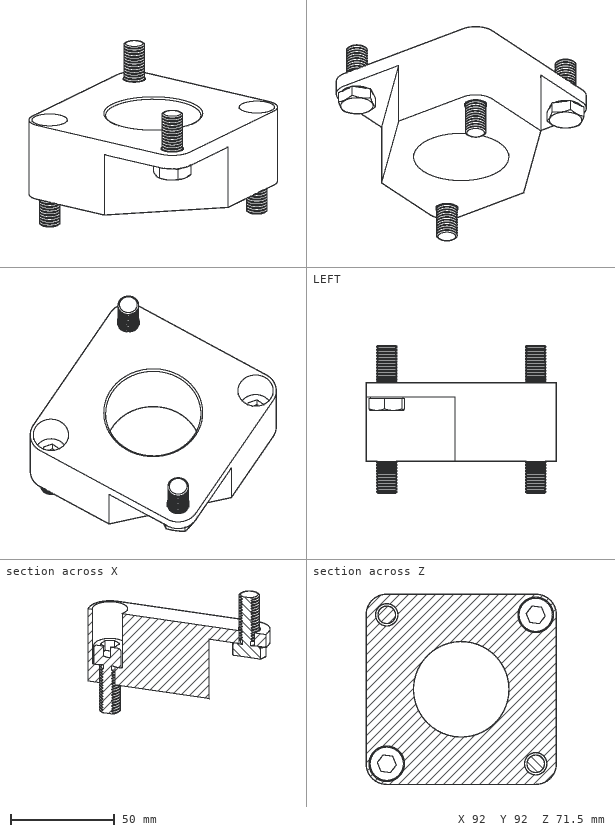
import cadquery as cq
import math

SIDE = 92.0
CORNER_RADIUS = 10.0
BLOCK_HEIGHT = 38.0
PLATE_THICKNESS = 7.0
CUT_START = 3.0
BORE_DIAMETER = 46.0
BORE_CHAMFER = 0.9
BOLT_OFFSET = 36.0
CLEARANCE_DIAMETER = 10.7
COUNTERBORE_DIAMETER = 17.0

HALF = SIDE / 2
CUT_HEIGHT = BLOCK_HEIGHT - PLATE_THICKNESS

THREAD_DIAMETER = 10.0
THREAD_DEPTH = 0.7
THREAD_CREST = 0.3
THREAD_LENGTH = 23.0
THREAD_COUNT = 16
SHANK_LENGTH = 25.0

THREAD_PITCH = THREAD_LENGTH / THREAD_COUNT

SOCKET_SCREW_REACH = 15.5
SOCKET_HEAD_DIAMETER = 16.0
SOCKET_HEAD_HEIGHT = 10.0
SOCKET_HEAD_ROUNDING = 1.5
SOCKET_WIDTH = 8.0
SOCKET_DEPTH = 5.0
SOCKET_TURN = -7.5
POINT_SLOPE_ANGLE = 30.0
SEAT_HEIGHT = SHANK_LENGTH - SOCKET_SCREW_REACH

HEX_WIDTH = 16.0
HEX_HEAD_HEIGHT = 6.5
WASHER_FACE_DIAMETER = 15.6
WASHER_FACE_HEIGHT = 0.6
HEX_CHAMFER_ANGLE = 30.0

SOCKET_SCREW_POINTS = [(-BOLT_OFFSET, -BOLT_OFFSET), (BOLT_OFFSET, BOLT_OFFSET)]
HEX_BOLT_PLACES = [(BOLT_OFFSET, -BOLT_OFFSET, 22.5), (-BOLT_OFFSET, BOLT_OFFSET, -7.5)]
HEX_BOLT_POINTS = [(x, y) for x, y, turn in HEX_BOLT_PLACES]


def across_corners(across_flats):
    """Corner-to-corner width of a regular hexagon."""
    return across_flats / math.cos(math.pi / 6)


def corner_cutter(side):
    """Triangular prism under the plate: side 1 is the +X -Y corner, side -1 the -X +Y corner."""
    outline = [
        (side * CUT_START, -side * HALF),
        (side * HALF, -side * HALF),
        (side * HALF, -side * CUT_START),
    ]
    return cq.Workplane("XY").polyline(outline).close().extrude(CUT_HEIGHT)


def make_flange():
    block = cq.Workplane("XY").rect(SIDE, SIDE).extrude(BLOCK_HEIGHT)
    block = block.edges("|Z").fillet(CORNER_RADIUS)
    for side in (1, -1):
        block = block.cut(corner_cutter(side))

    bore = cq.Workplane("XY").circle(BORE_DIAMETER / 2).extrude(BLOCK_HEIGHT)
    countersink = (
        cq.Workplane("XY", origin=(0, 0, BLOCK_HEIGHT - BORE_CHAMFER))
        .circle(BORE_DIAMETER / 2)
        .workplane(offset=BORE_CHAMFER)
        .circle(BORE_DIAMETER / 2 + BORE_CHAMFER)
        .loft()
    )
    clearance_holes = (
        cq.Workplane("XY")
        .pushPoints(SOCKET_SCREW_POINTS + HEX_BOLT_POINTS)
        .circle(CLEARANCE_DIAMETER / 2)
        .extrude(BLOCK_HEIGHT)
    )
    counterbores = (
        cq.Workplane("XY", origin=(0, 0, SEAT_HEIGHT))
        .pushPoints(SOCKET_SCREW_POINTS)
        .circle(COUNTERBORE_DIAMETER / 2)
        .extrude(BLOCK_HEIGHT - SEAT_HEIGHT)
    )
    return block.cut(bore).cut(countersink).cut(clearance_holes).cut(counterbores)


def make_shank():
    """Shank from the head seat at Z = 0 up to its tip, with a row of thread rings."""
    crest = THREAD_DIAMETER / 2
    root = crest - THREAD_DEPTH
    flank = (THREAD_PITCH - THREAD_CREST) / 2
    thread_start = SHANK_LENGTH - THREAD_LENGTH
    outline = [(0, 0), (root, 0), (root, thread_start)]
    for ring in range(THREAD_COUNT):
        ring_start = thread_start + ring * THREAD_PITCH
        outline.append((crest, ring_start + flank))
        outline.append((crest, ring_start + flank + THREAD_CREST))
        outline.append((root, ring_start + THREAD_PITCH))
    outline.append((0, SHANK_LENGTH))
    return cq.Workplane("XZ").polyline(outline).close().revolve(360, (0, 0), (0, 1))


def make_socket_screw(x, y):
    head = cq.Workplane("XY").circle(SOCKET_HEAD_DIAMETER / 2).extrude(SOCKET_HEAD_HEIGHT)
    head = head.faces(">Z").edges().fillet(SOCKET_HEAD_ROUNDING)

    socket_corners = across_corners(SOCKET_WIDTH)
    socket_floor = SOCKET_HEAD_HEIGHT - SOCKET_DEPTH
    socket = (
        cq.Workplane("XY", origin=(0, 0, socket_floor))
        .polygon(6, socket_corners)
        .extrude(SOCKET_DEPTH)
    )
    point_depth = socket_corners / 2 * math.tan(math.radians(POINT_SLOPE_ANGLE))
    drill_point = (
        cq.Workplane("XZ")
        .polyline([
            (0, socket_floor - point_depth),
            (socket_corners / 2, socket_floor),
            (0, socket_floor),
        ])
        .close()
        .revolve(360, (0, 0), (0, 1))
    )
    hexagon_prism = cq.Workplane("XY").polygon(6, socket_corners).extrude(SOCKET_HEAD_HEIGHT)
    recess = socket.union(drill_point.intersect(hexagon_prism))
    recess = recess.rotate((0, 0, 0), (0, 0, 1), SOCKET_TURN)

    shank = make_shank().mirror("XY")
    screw = head.cut(recess).union(shank)
    return screw.translate((x, y, SEAT_HEIGHT))


def make_hex_bolt(x, y, turn):
    head = (
        cq.Workplane("XY", origin=(0, 0, -HEX_HEAD_HEIGHT))
        .polygon(6, across_corners(HEX_WIDTH))
        .extrude(HEX_HEAD_HEIGHT - WASHER_FACE_HEIGHT)
        .rotate((0, 0, 0), (0, 0, 1), turn)
    )
    corner_radius = across_corners(HEX_WIDTH) / 2
    flat_radius = WASHER_FACE_DIAMETER / 2
    trim_height = (corner_radius - flat_radius) * math.tan(math.radians(HEX_CHAMFER_ANGLE))
    envelope = (
        cq.Workplane("XZ")
        .polyline([
            (0, -HEX_HEAD_HEIGHT),
            (flat_radius, -HEX_HEAD_HEIGHT),
            (corner_radius, -HEX_HEAD_HEIGHT + trim_height),
            (corner_radius, 0),
            (0, 0),
        ])
        .close()
        .revolve(360, (0, 0), (0, 1))
    )
    washer_face = (
        cq.Workplane("XY")
        .circle(WASHER_FACE_DIAMETER / 2)
        .extrude(-WASHER_FACE_HEIGHT)
    )
    bolt = head.intersect(envelope).union(washer_face).union(make_shank())
    return bolt.translate((x, y, CUT_HEIGHT))


flange = make_flange()
socket_screws = [make_socket_screw(x, y) for x, y in SOCKET_SCREW_POINTS]
hex_bolts = [make_hex_bolt(x, y, turn) for x, y, turn in HEX_BOLT_PLACES]

result = cq.Compound.makeCompound(
    [flange.val()]
    + [screw.val() for screw in socket_screws]
    + [bolt.val() for bolt in hex_bolts]
)